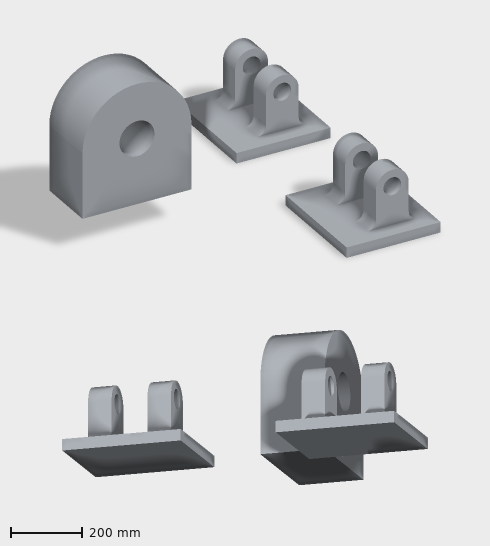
import cadquery as cq

overall_length = 980.0
overall_depth = 931.0
overall_height = 490.0

plate_length = 350.0
plate_depth = 303.0
plate_thickness = 33.0

lug_thickness = 70.0
lug_spacing = 175.0
lug_radius = 53.0
lug_hole_diameter = 57.0
lug_axis_height = 157.0
lug_axis_from_back = 126.0
foot_radius = 28.0

block_thickness = 190.0
block_radius = 175.0
block_hole_diameter = 113.0
block_bottom = 105.0

plate_center_y = overall_depth - plate_depth / 2
lug_axis_y = overall_depth - lug_axis_from_back
block_axis_height = overall_height - block_radius


def round_topped_profile(plane, radius, axis_y, axis_z, bottom_z):
    """Closed YZ outline: straight sides under a half-round top."""
    return (
        plane.moveTo(axis_y - radius, bottom_z)
        .lineTo(axis_y - radius, axis_z)
        .threePointArc((axis_y, axis_z + radius), (axis_y + radius, axis_z))
        .lineTo(axis_y + radius, bottom_z)
        .close()
    )


def make_lug(center_x):
    """Lug with flared feet and a cross hole, standing on the plate."""
    plane = cq.Workplane("YZ", origin=(center_x - lug_thickness / 2, 0, 0))
    lug = round_topped_profile(
        plane, lug_radius, lug_axis_y, lug_axis_height, plate_thickness
    ).extrude(lug_thickness)

    for side in (-1, 1):
        side_y = lug_axis_y + side * lug_radius
        toe_y = side_y + side * foot_radius
        foot = (
            plane.moveTo(side_y, plate_thickness)
            .lineTo(toe_y, plate_thickness)
            .radiusArc((side_y, plate_thickness + foot_radius), side * foot_radius)
            .close()
            .extrude(lug_thickness)
        )
        lug = lug.union(foot)

    hole = plane.center(lug_axis_y, lug_axis_height).circle(lug_hole_diameter / 2).extrude(lug_thickness)
    return lug.cut(hole)


def make_bracket(center_x):
    """Base plate carrying a pair of lugs with a common hole axis."""
    bracket = cq.Workplane("XY").center(center_x, plate_center_y).box(
        plate_length, plate_depth, plate_thickness, centered=(True, True, False)
    )
    for side in (-1, 1):
        bracket = bracket.union(make_lug(center_x + side * lug_spacing / 2))
    return bracket


def make_block():
    """Raised block with a half-round top and a concentric through hole."""
    plane = cq.Workplane("YZ", origin=((overall_length - block_thickness) / 2, 0, 0))
    block = round_topped_profile(
        plane, block_radius, block_radius, block_axis_height, block_bottom
    ).extrude(block_thickness)
    hole = (
        plane.center(block_radius, block_axis_height)
        .circle(block_hole_diameter / 2)
        .extrude(block_thickness)
    )
    return block.cut(hole)


bracket_centers = (plate_length / 2, overall_length - plate_length / 2)
brackets = [make_bracket(center_x) for center_x in bracket_centers]
block = make_block()

result = cq.Compound.makeCompound([*(bracket.val() for bracket in brackets), block.val()])